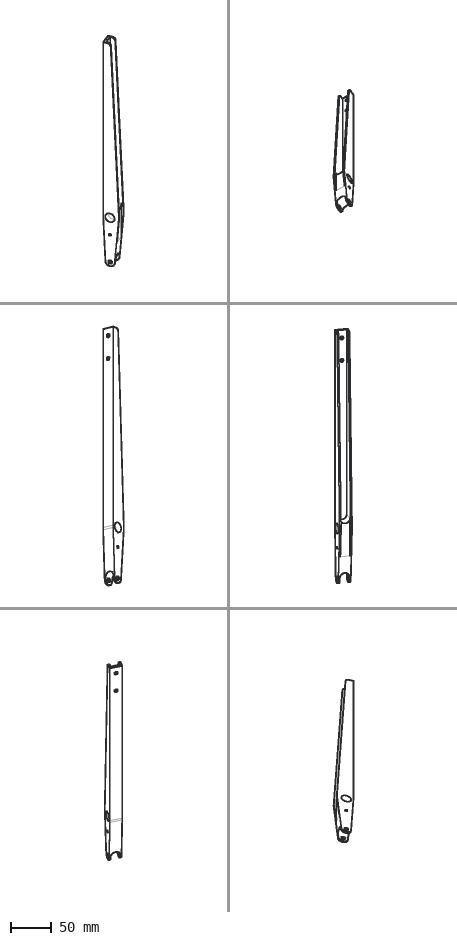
import cadquery as cq
import math

LENGTH = 326.0
DEPTH = 21.0
WIDTH = 16.0
WALL = 2.0
WEB = 3.3
INNER_WIDTH = WIDTH - 2 * WALL

TOP_DEPTH = 9.8
TOP_CORNER_RADIUS = 4.2
PIVOT_X = 9.0
TIP_RADIUS = 6.2
WIDEST_Z = 73.0
BACK_BEND_Z = 70.7
BEND_RADIUS = 65.2

PIN_DIAMETER = 5.0
SMALL_HOLE_Z = 46.0
SMALL_HOLE_DIAMETER = 3.0
BORE_Z = 71.0
BORE_DIAMETER = 12.5

ROOT_FRONT = 18.0
TROUGH_Z = 80.0

WEB_HOLE_DIAMETER = 4.2
WEB_HOLE_DROPS = (10.0, 39.5)
FORK_HEIGHT = 14.7


def tip_tangent(x, z):
    """Point where a line from (x, z) touches the round lower tip."""
    dx = x - PIVOT_X
    dz = z - TIP_RADIUS
    spread = math.acos(TIP_RADIUS / math.hypot(dx, dz))
    side = math.copysign(1, dx)
    angle = math.atan2(dz, dx) - side * spread
    return (PIVOT_X + TIP_RADIUS * math.cos(angle), TIP_RADIUS + TIP_RADIUS * math.sin(angle))


def side_solid():
    """Solid bar with the side outline, centred on Y = 0."""
    back_tangent = tip_tangent(0, BACK_BEND_Z)
    bend_angle = math.atan2(back_tangent[0], BACK_BEND_Z - back_tangent[1])
    bend_top_z = BACK_BEND_Z + BEND_RADIUS * math.tan(bend_angle / 2)

    def bend_point(angle):
        return (BEND_RADIUS * (1 - math.cos(angle)), bend_top_z - BEND_RADIUS * math.sin(angle))

    return (
        cq.Workplane("XZ")
        .moveTo(0, LENGTH)
        .lineTo(TOP_DEPTH, LENGTH)
        .lineTo(DEPTH, WIDEST_Z)
        .lineTo(*tip_tangent(DEPTH, WIDEST_Z))
        .threePointArc((PIVOT_X, 0), back_tangent)
        .lineTo(*bend_point(bend_angle))
        .threePointArc(bend_point(bend_angle / 2), (0, bend_top_z))
        .close()
        .extrude(WIDTH / 2, both=True)
        .edges(cq.selectors.NearestToPointSelector((TOP_DEPTH, 0, LENGTH)))
        .fillet(TOP_CORNER_RADIUS)
    )


def side_hole(diameter, z):
    """Hole cutter along Y through both flanges."""
    return cq.Workplane("XZ").center(PIVOT_X, z).circle(diameter / 2).extrude(WIDTH, both=True)


def round_ended_slot(start_x, end_z, open_z):
    """Slot cutter along +X between the flanges, half-round at end_z and square at open_z."""
    radius = INNER_WIDTH / 2
    spring_z = end_z + math.copysign(radius, open_z - end_z)
    return (
        cq.Workplane("YZ", origin=(start_x, 0, 0))
        .moveTo(-radius, open_z)
        .lineTo(-radius, spring_z)
        .threePointArc((0, end_z), (radius, spring_z))
        .lineTo(radius, open_z)
        .close()
        .extrude(DEPTH)
    )


channel = round_ended_slot(WEB, TROUGH_Z, LENGTH)
fork = round_ended_slot(0, FORK_HEIGHT, 0)
front_relief = cq.Workplane("XY").box(DEPTH, INNER_WIDTH, LENGTH, centered=(False, True, False))
result = side_solid().cut(channel).cut(fork).cut(front_relief.translate((ROOT_FRONT, 0, 0)))

for diameter, z in (
    (PIN_DIAMETER, TIP_RADIUS),
    (SMALL_HOLE_DIAMETER, SMALL_HOLE_Z),
    (BORE_DIAMETER, BORE_Z),
):
    result = result.cut(side_hole(diameter, z))

for drop in WEB_HOLE_DROPS:
    hole = cq.Workplane("YZ").center(0, LENGTH - drop).circle(WEB_HOLE_DIAMETER / 2).extrude(2 * WEB)
    result = result.cut(hole)